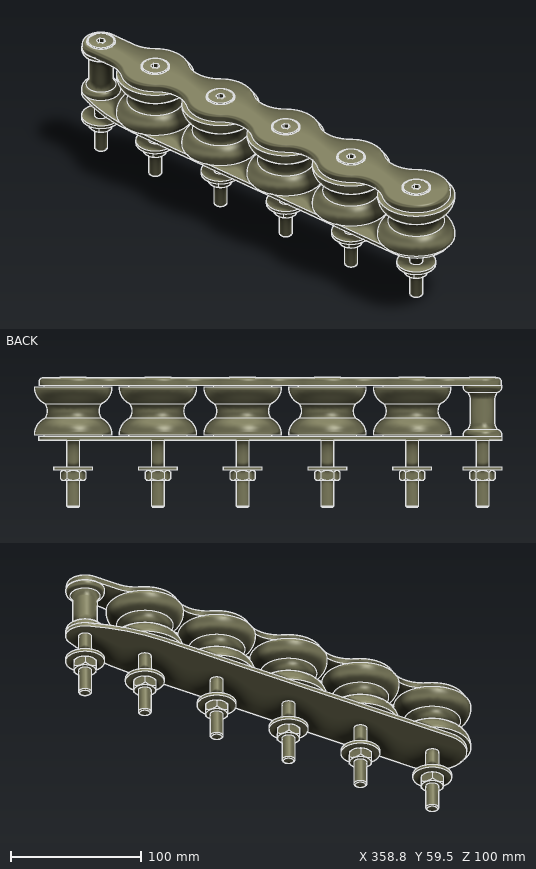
import cadquery as cq
import math

roller_count = 5
roller_pitch = 65.0
first_roller_x = 54.0
roller_xs = [first_roller_x + i * roller_pitch for i in range(roller_count)]
station_xs = [0.0] + roller_xs

bolt_length = 100.0
head_projection = 0.5
cover_thickness = 6.0
base_thickness = 3.0
sleeve_height = 39.0
cover_top = bolt_length - head_projection
cover_bottom = cover_top - cover_thickness
base_top = cover_bottom - sleeve_height
base_bottom = base_top - base_thickness
mid_height = (cover_bottom + base_top) / 2

base_nose_radius = 15.0
base_half_width = 26.5
cover_nose_radius = 14.5
cover_lobe_radius = 26.3
cover_edge_fillet = 3.0

roller_diameter = 59.5
roller_shoulder_diameter = 43.5
roller_waist_diameter = 40.0
roller_gap = 1.0
roller_rim_height = 2.2
roller_waist_height = 11.0
roller_flare_bulge = 1.2
hub_diameter = 45.0

post_flange_diameter = 29.9
post_tube_diameter = 19.0
post_flange_height = 1.0
post_shoulder_diameter = 23.0
post_shoulder_height = 5.4
post_cove_height = 10.8

bolt_diameter = 10.0
bolt_tip_chamfer = 1.0
head_diameter = 20.0
head_recess_diameter = 22.0
head_recess_depth = 1.0
socket_across_flats = 6.0
socket_depth = 4.0
washer_diameter = 30.0
washer_thickness = 2.5
washer_top = 31.0
nut_across_flats = 17.0
nut_height = 8.0
nut_face_diameter = 16.6


def mirrored(point):
    """Image of a sketch point across the horizontal axis of its sketch."""
    return (point[0], -point[1])


def cover_plate():
    """Top plate: lobes over the rollers joined by tangent valleys, narrowing to the post."""
    half_pitch = roller_pitch / 2
    valley_radius = (half_pitch**2 + cover_nose_radius**2 - cover_lobe_radius**2) / (
        2 * (cover_lobe_radius - cover_nose_radius)
    )
    valley_y = cover_nose_radius + valley_radius
    lean = math.asin(half_pitch / (cover_lobe_radius + valley_radius))
    touch_x = cover_lobe_radius * math.sin(lean)
    touch_y = cover_lobe_radius * math.cos(lean)
    halfway_x = half_pitch - valley_radius * math.sin(lean / 2)
    halfway_y = valley_y - valley_radius * math.cos(lean / 2)

    upper_start = (first_roller_x - half_pitch, cover_nose_radius)
    first_touch = (first_roller_x - touch_x, touch_y)
    upper_arcs = [((first_roller_x - halfway_x, halfway_y), first_touch)]
    for x in roller_xs[:-1]:
        next_x = x + roller_pitch
        upper_arcs.append(((x, cover_lobe_radius), (x + touch_x, touch_y)))
        upper_arcs.append(((x + half_pitch, cover_nose_radius), (next_x - touch_x, touch_y)))

    outline = (
        cq.Workplane("XY", origin=(0, 0, cover_bottom))
        .moveTo(0, -cover_nose_radius)
        .threePointArc((-cover_nose_radius, 0), (0, cover_nose_radius))
        .lineTo(*upper_start)
    )
    for middle, end in upper_arcs:
        outline = outline.threePointArc(middle, end)
    outline = outline.threePointArc((roller_xs[-1] + cover_lobe_radius, 0), mirrored(upper_arcs[-1][1]))
    arc_starts = [upper_start] + [end for middle, end in upper_arcs[:-1]]
    for (middle, end), start in reversed(list(zip(upper_arcs, arc_starts))):
        outline = outline.threePointArc(mirrored(middle), mirrored(start))
    plate = outline.close().extrude(cover_thickness)
    return plate.faces(">Z").edges().fillet(cover_edge_fillet)


def base_plate():
    """Bottom plate: straight sides, a round end, and a nose drawn in to the post by large arcs."""
    side_radius = (first_roller_x**2 + base_half_width**2 - base_nose_radius**2) / (
        2 * (base_half_width - base_nose_radius)
    )
    lean = math.asin(first_roller_x / (side_radius - base_nose_radius))
    side_centre_y = base_half_width - side_radius
    last_x = roller_xs[-1]

    def on_side_arc(angle):
        return (
            first_roller_x - side_radius * math.sin(angle),
            side_centre_y + side_radius * math.cos(angle),
        )

    nose = on_side_arc(lean)
    bend = on_side_arc(lean / 2)
    return (
        cq.Workplane("XY", origin=(0, 0, base_bottom))
        .moveTo(*mirrored(nose))
        .threePointArc((-base_nose_radius, 0), nose)
        .threePointArc(bend, (first_roller_x, base_half_width))
        .lineTo(last_x, base_half_width)
        .threePointArc((last_x + base_half_width, 0), (last_x, -base_half_width))
        .lineTo(first_roller_x, -base_half_width)
        .threePointArc(mirrored(bend), mirrored(nose))
        .close()
        .extrude(base_thickness)
    )


def roller(x):
    """Waisted roller with a short hub that spaces each end from its plate."""
    rim_r = roller_diameter / 2
    shoulder_r = roller_shoulder_diameter / 2
    waist_r = roller_waist_diameter / 2
    hub_r = hub_diameter / 2
    rim_z = sleeve_height / 2 - roller_gap
    flare_z = rim_z - roller_rim_height
    waist_z = roller_waist_height / 2
    flare_mid_r = (rim_r + shoulder_r) / 2 + roller_flare_bulge
    flare_mid_z = (flare_z + waist_z) / 2 - roller_flare_bulge
    return (
        cq.Workplane("XZ", origin=(x, 0, mid_height))
        .moveTo(0, -sleeve_height / 2)
        .lineTo(hub_r, -sleeve_height / 2)
        .lineTo(hub_r, -rim_z)
        .lineTo(rim_r, -rim_z)
        .lineTo(rim_r, -flare_z)
        .threePointArc((flare_mid_r, -flare_mid_z), (shoulder_r, -waist_z))
        .threePointArc((waist_r, 0), (shoulder_r, waist_z))
        .threePointArc((flare_mid_r, flare_mid_z), (rim_r, flare_z))
        .lineTo(rim_r, rim_z)
        .lineTo(hub_r, rim_z)
        .lineTo(hub_r, sleeve_height / 2)
        .lineTo(0, sleeve_height / 2)
        .close()
        .revolve(360, (0, 0, 0), (0, 1, 0))
    )


def arc_leaving_vertical(start, end):
    """Middle point of the arc from `start`, where it runs along Z, to `end`."""
    run = end[0] - start[0]
    rise = end[1] - start[1]
    radius = (run**2 + rise**2) / (2 * abs(run))
    half_turn = math.atan(abs(run / rise))
    return (
        start[0] + math.copysign(radius * (1 - math.cos(half_turn)), run),
        start[1] + math.copysign(radius * math.sin(half_turn), rise),
    )


def guide_post():
    """Tube with a rounded flange and a cove at each end."""
    flange_r = post_flange_diameter / 2
    shoulder_r = post_shoulder_diameter / 2
    tube_r = post_tube_diameter / 2
    half_height = sleeve_height / 2
    flange = (flange_r, post_flange_height - half_height)
    shoulder = (shoulder_r, post_shoulder_height - half_height)
    tube = (tube_r, post_cove_height - half_height)
    rounding = arc_leaving_vertical(flange, shoulder)
    cove = arc_leaving_vertical(tube, shoulder)
    return (
        cq.Workplane("XZ", origin=(0, 0, mid_height))
        .moveTo(0, -half_height)
        .lineTo(flange_r, -half_height)
        .lineTo(*flange)
        .threePointArc(rounding, shoulder)
        .threePointArc(cove, tube)
        .lineTo(*mirrored(tube))
        .threePointArc(mirrored(cove), mirrored(shoulder))
        .threePointArc(mirrored(rounding), mirrored(flange))
        .lineTo(flange_r, half_height)
        .lineTo(0, half_height)
        .close()
        .revolve(360, (0, 0, 0), (0, 1, 0))
    )


def disc(x, bottom, diameter, height):
    return cq.Workplane("XY", origin=(x, 0, bottom)).circle(diameter / 2).extrude(height)


def hexagon(x, bottom, across_flats, height):
    corner_diameter = across_flats / math.cos(math.pi / 6)
    return cq.Workplane("XY", origin=(x, 0, bottom)).polygon(6, corner_diameter).extrude(height)


def nut(x):
    """Hexagon nut whose corners are bevelled at 45 degrees around a round face at each end."""
    bottom = washer_top - washer_thickness - nut_height
    bevel_diameter = nut_face_diameter + nut_height / 2
    chamfer = (bevel_diameter - nut_face_diameter) / 2
    bevel = disc(x, bottom, bevel_diameter, nut_height).faces("<Z or >Z").chamfer(chamfer)
    return hexagon(x, bottom, nut_across_flats, nut_height).intersect(bevel)


def bolt(x):
    """Bolt standing head up, with its washer and nut below the base plate."""
    shank = disc(x, 0, bolt_diameter, bolt_length).faces("<Z").chamfer(bolt_tip_chamfer)
    head_bottom = cover_top - head_recess_depth
    head = disc(x, head_bottom, head_diameter, bolt_length - head_bottom)
    washer = disc(x, washer_top - washer_thickness, washer_diameter, washer_thickness)
    return shank.union(head).union(washer).union(nut(x))


def head_recess(x):
    return disc(x, cover_top - head_recess_depth, head_recess_diameter, head_recess_depth)


def hex_socket(x):
    """Hexagonal key socket with two of its corners on the Y direction."""
    socket = hexagon(x, bolt_length - socket_depth, socket_across_flats, socket_depth)
    return socket.rotate((x, 0, 0), (x, 0, 1), 90)


result = cover_plate()
for x in station_xs:
    result = result.cut(head_recess(x))
result = result.union(base_plate()).union(guide_post())
for x in station_xs:
    result = result.union(bolt(x))
for x in roller_xs:
    result = result.union(roller(x))
for x in station_xs:
    result = result.cut(hex_socket(x))